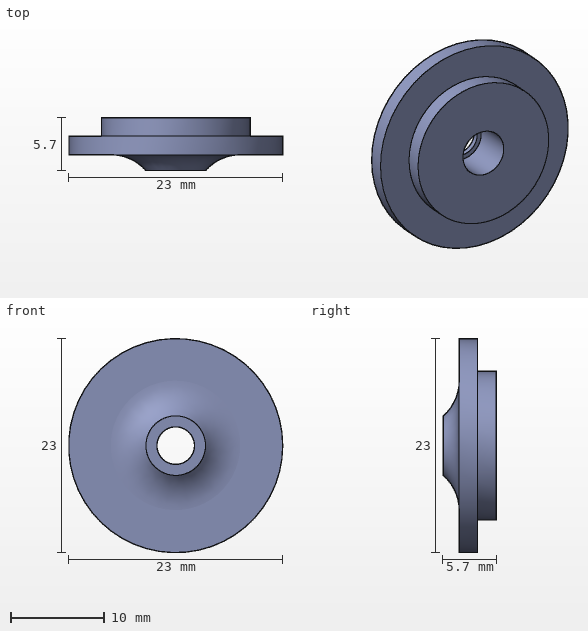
import cadquery as cq
import math

flange_radius = 23 / 2
flange_thickness = 2.0
spigot_radius = 16.0 / 2
spigot_length = 2.0
hub_face_radius = 6.4 / 2
hub_height = 1.7
flare_radius = 5.0
bore_radius = 4.0 / 2
bore_lip_thickness = 0.7
counterbore_radius = 5.0 / 2

flange_front = -flange_thickness
hub_face = flange_front - hub_height
counterbore_floor = hub_face + bore_lip_thickness

flare_center_y = flange_front - flare_radius
flare_end_angle = math.acos((flare_radius - hub_height) / flare_radius)
flare_base_radius = hub_face_radius + flare_radius * math.sin(flare_end_angle)
flare_middle = (
    flare_base_radius - flare_radius * math.sin(flare_end_angle / 2),
    flare_center_y + flare_radius * math.cos(flare_end_angle / 2),
)

half_section = (
    cq.Workplane("XY")
    .moveTo(bore_radius, hub_face)
    .lineTo(hub_face_radius, hub_face)
    .threePointArc(flare_middle, (flare_base_radius, flange_front))
    .lineTo(flange_radius, flange_front)
    .lineTo(flange_radius, 0)
    .lineTo(spigot_radius, 0)
    .lineTo(spigot_radius, spigot_length)
    .lineTo(counterbore_radius, spigot_length)
    .lineTo(counterbore_radius, counterbore_floor)
    .lineTo(bore_radius, counterbore_floor)
    .close()
)
result = half_section.revolve(360, (0, 0, 0), (0, 1, 0))